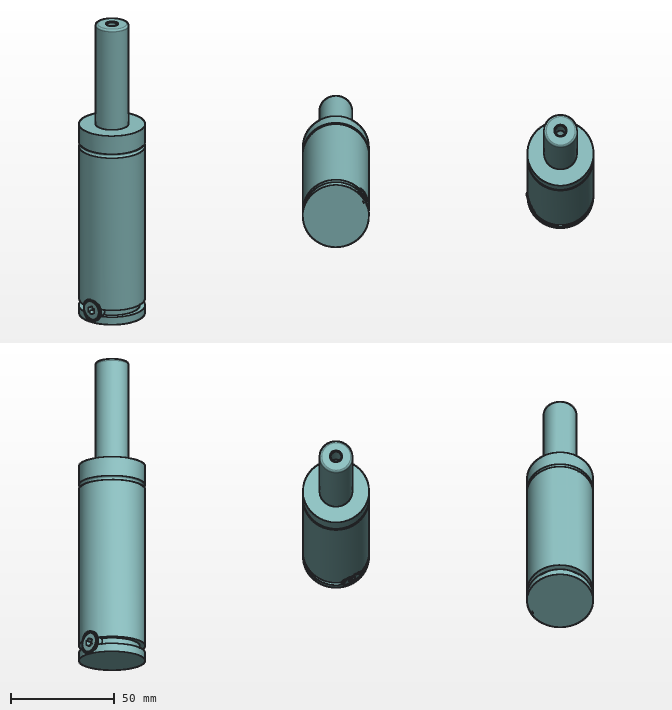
import cadquery as cq
import math

body_diameter = 32
body_height = 98
total_height = 150
rod_diameter = 16
rod_edge_radius = 1

base_groove_diameter = 27
base_groove_bottom = 4
base_groove_top = 7.5

head_groove_radius = 1
head_groove_height = 87.5

rod_hole_diameter = 5
rod_hole_mouth_diameter = 6
rod_hole_depth = 12
drill_point_angle = 118

port_height = 6
port_seat_diameter = 11
port_seat_distance = 15
port_plug_diameter = 10
port_plug_distance = 15.8
port_plug_chamfer = 0.4
port_root_distance = 10
socket_across_flats = 3.5
socket_depth = 3

body_radius = body_diameter / 2


def make_body():
    """Turned body and rod with both grooves and the rounded rod end."""
    rod_radius = rod_diameter / 2
    groove_radius = base_groove_diameter / 2
    profile = (
        cq.Workplane("XZ")
        .lineTo(body_radius, 0)
        .lineTo(body_radius, base_groove_bottom)
        .lineTo(groove_radius, base_groove_bottom)
        .lineTo(groove_radius, base_groove_top)
        .lineTo(body_radius, base_groove_top)
        .lineTo(body_radius, head_groove_height - head_groove_radius)
        .threePointArc(
            (body_radius - head_groove_radius, head_groove_height),
            (body_radius, head_groove_height + head_groove_radius),
        )
        .lineTo(body_radius, body_height)
        .lineTo(rod_radius, body_height)
        .lineTo(rod_radius, total_height - rod_edge_radius)
        .tangentArcPoint((-rod_edge_radius, rod_edge_radius))
        .lineTo(0, total_height)
        .close()
    )
    return profile.revolve(360, (0, 0), (0, 1))


def make_rod_hole():
    """Blind drilled hole with a 45 degree mouth and a conical bottom."""
    hole_radius = rod_hole_diameter / 2
    mouth_radius = rod_hole_mouth_diameter / 2
    point_length = hole_radius / math.tan(math.radians(drill_point_angle / 2))
    hole_bottom = total_height - rod_hole_depth
    profile = (
        cq.Workplane("XZ")
        .moveTo(0, total_height)
        .lineTo(mouth_radius, total_height)
        .lineTo(hole_radius, total_height - (mouth_radius - hole_radius))
        .lineTo(hole_radius, hole_bottom)
        .lineTo(0, hole_bottom - point_length)
        .close()
    )
    return profile.revolve(360, (0, 0), (0, 1))


def port_cylinder(diameter, start, end):
    """Cylinder on the port axis between two distances from the body axis, along -Y."""
    return (
        cq.Workplane("XZ", origin=(0, -start, port_height))
        .circle(diameter / 2)
        .extrude(end - start)
    )


def make_socket():
    """Hexagon socket in the port face, with corners pointing up and down."""
    across_corners = socket_across_flats / math.cos(math.radians(30))
    return (
        cq.Workplane("XZ", origin=(0, -port_plug_distance, port_height))
        .transformed(rotate=(0, 0, 90))
        .polygon(6, across_corners)
        .extrude(-socket_depth)
    )


def add_port(body):
    """Sink a flat round seat that bridges the base groove, and raise a socketed plug from it."""
    spotface = port_cylinder(port_seat_diameter, port_seat_distance, body_radius)
    seat = port_cylinder(port_seat_diameter, port_root_distance, port_seat_distance)
    plug = (
        port_cylinder(port_plug_diameter, port_root_distance, port_plug_distance)
        .faces("<Y")
        .chamfer(port_plug_chamfer)
    )
    return body.cut(spotface).union(seat).union(plug).cut(make_socket())


result = add_port(make_body()).cut(make_rod_hole())